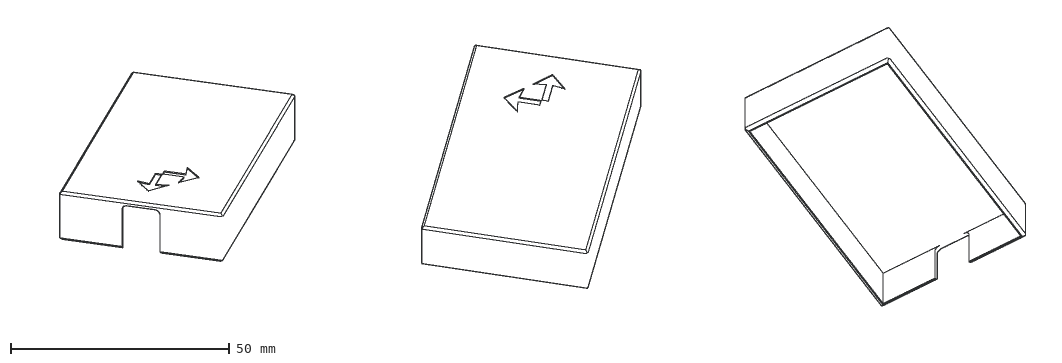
import cadquery as cq

width = 39.02
length = 60.18
height = 12.7
corner_radius = 0.6
top_chamfer = 0.6
bottom_chamfer = 0.75

wall = 1.0
roof = 1.2
cavity_height = height - roof

opening_width = 9.1
opening_corner_radius = 1.25

arrow_length = 8.5
shaft_length = 5.1
shaft_half_width = 0.75
barb_position = 4.6
barb_half_width = 3.75
engraving_depth = 0.3
x_arrow_tail = (0, -15.4)
y_arrow_tail = (0.9, -14.5)


def make_block(x_size, y_size, z_size):
    """Box centred on the Z axis and standing on the XY plane."""
    return cq.Workplane("XY").box(x_size, y_size, z_size, centered=(True, True, False))


def make_shell():
    """Box with rounded upright edges and chamfered rims, hollowed from below."""
    chamfered = make_block(width, length, height)
    chamfered = chamfered.faces(">Z").edges().chamfer(top_chamfer)
    chamfered = chamfered.faces("<Z").edges().chamfer(bottom_chamfer)
    rounded = make_block(width, length, height).edges("|Z").fillet(corner_radius)
    cavity = make_block(width - 2 * wall, length - 2 * wall, cavity_height)
    return chamfered.intersect(rounded).cut(cavity)


def make_opening():
    """Cutter for the front wall, as tall as the cavity, with rounded upper corners."""
    cutter = make_block(opening_width, 2 * wall, cavity_height)
    cutter = cutter.edges("|Y and >Z").fillet(opening_corner_radius)
    return cutter.translate((0, -length / 2, 0))


def make_arrow(tail, angle):
    """Arrow cutter starting at tail and pointing along angle, measured from +X."""
    outline = [
        (0, shaft_half_width),
        (shaft_length, shaft_half_width),
        (barb_position, barb_half_width),
        (arrow_length, 0),
        (barb_position, -barb_half_width),
        (shaft_length, -shaft_half_width),
        (0, -shaft_half_width),
    ]
    arrow = cq.Workplane("XY").polyline(outline).close().extrude(engraving_depth)
    arrow = arrow.rotate((0, 0, 0), (0, 0, 1), angle)
    return arrow.translate((*tail, height - engraving_depth))


result = make_shell().cut(make_opening())
for tail, angle in ((x_arrow_tail, -90), (y_arrow_tail, 0)):
    result = result.cut(make_arrow(tail, angle))